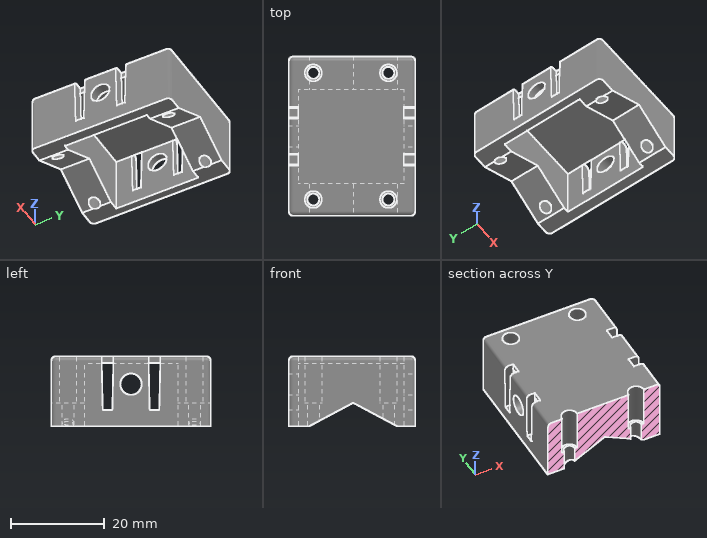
import cadquery as cq

LENGTH_X = 27.0
WIDTH_Y = 34.0
HEIGHT = 15.0
EDGE_RADIUS = 1.0

LEFT_WALL = 2.0
RIGHT_WALL = 2.5
END_WALL = 7.0
ROOF = 1.5

SCREW_SPACING_X = 16.0
SCREW_SPACING_Y = 27.0
SCREW_HOLE_DIAMETER = 2.5
SCREW_HEAD_DIAMETER = 3.6
SCREW_HEAD_DEPTH = 10.0

NOTCH_CENTRE_X = 0.25
NOTCH_WIDTH = 18.8
NOTCH_HEIGHT = 5.0

SLOT_SPACING_Y = 10.0
SLOT_TOP_WIDTH = 2.5
SLOT_FLOOR_WIDTH = 2.0
SLOT_FLOOR_Z = 3.5

SIDE_HOLE_DIAMETER = 4.5
SIDE_HOLE_Z = 9.0

HALF_LENGTH = LENGTH_X / 2
HALF_WIDTH = WIDTH_Y / 2
INNER_LEFT = -HALF_LENGTH + LEFT_WALL
INNER_RIGHT = HALF_LENGTH - RIGHT_WALL
CAVITY_CENTRE_X = (INNER_LEFT + INNER_RIGHT) / 2
CAVITY_LENGTH = INNER_RIGHT - INNER_LEFT
CAVITY_WIDTH = WIDTH_Y - 2 * END_WALL
CAVITY_HEIGHT = HEIGHT - ROOF


def outer_block():
    """Block with rounded upright and top edges and a sharp bottom edge."""
    block = cq.Workplane("XY").box(LENGTH_X, WIDTH_Y, HEIGHT, centered=(True, True, False))
    return block.edges("|Z or >Z").fillet(EDGE_RADIUS)


def cavity():
    base = cq.Workplane("XY", origin=(CAVITY_CENTRE_X, 0, 0))
    return base.rect(CAVITY_LENGTH, CAVITY_WIDTH).extrude(CAVITY_HEIGHT)


def screw_cylinders(diameter, bottom_z):
    """Four cylinders at the screw positions, from bottom_z up to the top face."""
    plane = cq.Workplane("XY", origin=(CAVITY_CENTRE_X, 0, bottom_z))
    centres = plane.rarray(SCREW_SPACING_X, SCREW_SPACING_Y, 2, 2)
    return centres.circle(diameter / 2).extrude(HEIGHT - bottom_z)


def screw_holes():
    shafts = screw_cylinders(SCREW_HOLE_DIAMETER, 0)
    heads = screw_cylinders(SCREW_HEAD_DIAMETER, HEIGHT - SCREW_HEAD_DEPTH)
    return shafts.union(heads)


def bottom_notch():
    return (
        cq.Workplane("XZ", origin=(NOTCH_CENTRE_X, 0, 0))
        .moveTo(-NOTCH_WIDTH / 2, 0)
        .lineTo(0, NOTCH_HEIGHT)
        .lineTo(NOTCH_WIDTH / 2, 0)
        .close()
        .extrude(HALF_WIDTH, both=True)
    )


def side_slot(start_x, depth, centre_y):
    """Slot cut from start_x along +X, narrowing from the top face to its floor."""
    return (
        cq.Workplane("YZ", origin=(start_x, centre_y, 0))
        .moveTo(-SLOT_FLOOR_WIDTH / 2, SLOT_FLOOR_Z)
        .lineTo(SLOT_FLOOR_WIDTH / 2, SLOT_FLOOR_Z)
        .lineTo(SLOT_TOP_WIDTH / 2, HEIGHT)
        .lineTo(-SLOT_TOP_WIDTH / 2, HEIGHT)
        .close()
        .extrude(depth)
    )


def side_hole():
    plane = cq.Workplane("YZ", origin=(0, 0, SIDE_HOLE_Z))
    return plane.circle(SIDE_HOLE_DIAMETER / 2).extrude(HALF_LENGTH, both=True)


result = outer_block()
for removed in (cavity(), screw_holes(), bottom_notch(), side_hole()):
    result = result.cut(removed)
for slot_y in (-SLOT_SPACING_Y / 2, SLOT_SPACING_Y / 2):
    result = result.cut(side_slot(-HALF_LENGTH, LEFT_WALL, slot_y))
    result = result.cut(side_slot(INNER_RIGHT, RIGHT_WALL, slot_y))